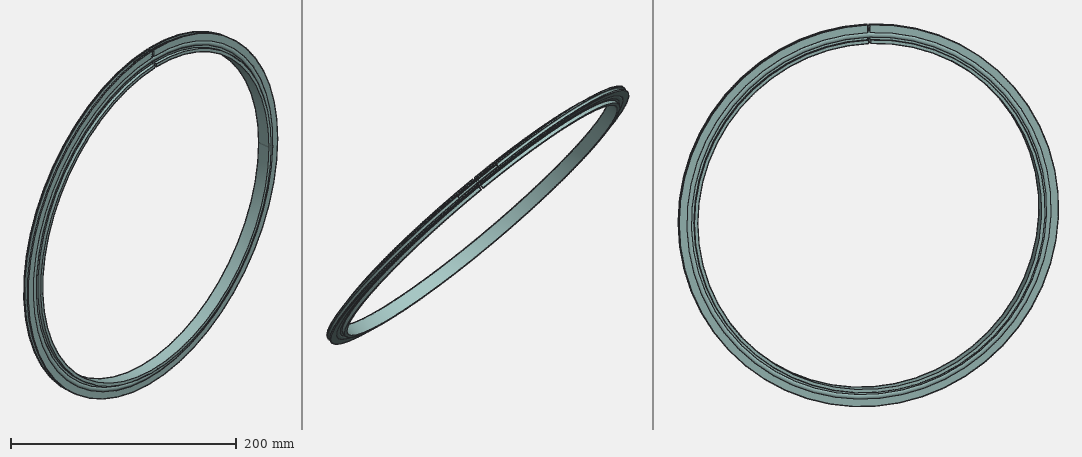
import cadquery as cq
import math

OUTER_RADIUS = 172.0
INNER_RADIUS = 156.0
FLANGE_RADIUS = 159.0
FLANGE_WIDTH = 12.0
WEB_WIDTH = 5.5
SEAL_RADIUS = 163.0
SEAL_SECTION_RADIUS = 3.5
SPLIT_GAP = 2.0

GROOVE_HALF_WIDTH = 1.5
GROOVE_ARC_RADIUS = 170.3

WIRE_RADIUS = 1.0
WIRE_ARC_RADIUS = GROOVE_ARC_RADIUS - GROOVE_HALF_WIDTH + WIRE_RADIUS
WIRE_HALF_LENGTH = 22.5


def tube(width, outer_radius, inner_radius):
    """Plain ring on the X axis, centred on X = 0."""
    return (
        cq.Workplane("YZ")
        .circle(outer_radius)
        .circle(inner_radius)
        .extrude(width / 2, both=True)
    )


def torus(ring_radius, section_radius):
    """Ring of round section on the X axis, centred on X = 0."""
    return cq.Workplane(cq.Solid.makeTorus(ring_radius, section_radius, dir=cq.Vector(1, 0, 0)))


def make_seal():
    """O-ring of round section."""
    return torus(SEAL_RADIUS, SEAL_SECTION_RADIUS)


def cut_split(ring):
    """Open the ring with a narrow radial cut at the top."""
    slot = cq.Workplane("XY").box(FLANGE_WIDTH, SPLIT_GAP, OUTER_RADIUS * 2, centered=(True, True, False))
    return ring.cut(slot)


def make_inner_ring():
    """Wide band with a narrow rim, hollowed on the outside to seat the O-ring."""
    band = tube(FLANGE_WIDTH, FLANGE_RADIUS, INNER_RADIUS)
    rim = tube(WEB_WIDTH, SEAL_RADIUS, INNER_RADIUS)
    return cut_split(band.union(rim).cut(make_seal()))


def make_outer_ring():
    """Narrow ring seated on the O-ring, with a round-bottomed groove for the clip around its outside."""
    ring = tube(WEB_WIDTH, OUTER_RADIUS, SEAL_RADIUS).cut(make_seal())
    groove_walls = tube(2 * GROOVE_HALF_WIDTH, OUTER_RADIUS, GROOVE_ARC_RADIUS)
    groove_floor = torus(GROOVE_ARC_RADIUS, GROOVE_HALF_WIDTH)
    return cut_split(ring.cut(groove_walls).cut(groove_floor))


def make_clip():
    """Bent wire on the groove floor that bridges the split of the outer ring."""
    half_angle = math.degrees(math.asin(WIRE_HALF_LENGTH / WIRE_ARC_RADIUS))
    return (
        cq.Workplane("XZ")
        .center(0, WIRE_ARC_RADIUS)
        .circle(WIRE_RADIUS)
        .revolve(2 * half_angle, (0, -WIRE_ARC_RADIUS), (1, -WIRE_ARC_RADIUS))
        .rotate((0, 0, 0), (1, 0, 0), -half_angle)
    )


inner_ring = make_inner_ring()
seal = make_seal()
outer_ring = make_outer_ring()
clip = make_clip()

result = cq.Compound.makeCompound([*inner_ring.vals(), seal.val(), *outer_ring.vals(), clip.val()])